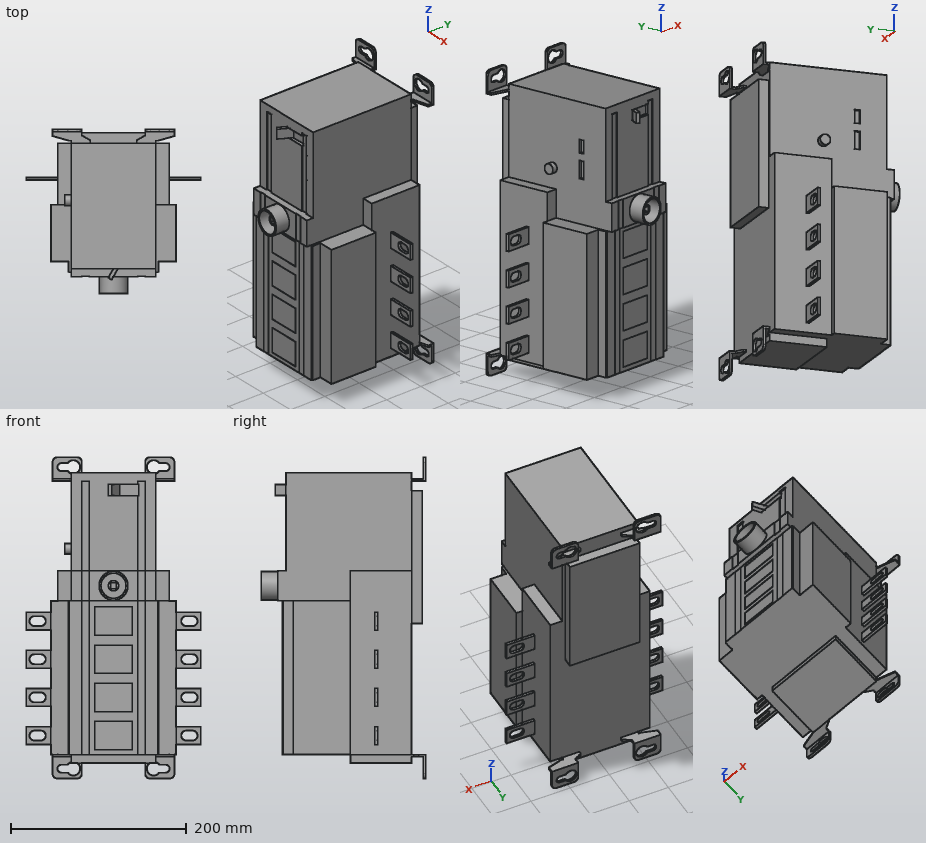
import cadquery as cq

total_height = 366.0

housing_half_width = 48.3
housing_top = 348.5
housing_front = -143.0
collar_front = -152.3
collar_top = 236.8
collar_bottom = 202.5
body_bottom = 27.5

rear_half_width = 63.7
rear_front = -70.0
wing_half_width = 71.5
wing_front = -134.7
nose_half_width = 51.2
nose_front = -147.0
nose_edge_chamfer = 1.0

base_bottom = 17.5
panel_half_width = 44.5
panel_back = 12.0
panel_bottom = 176.5
panel_top = 328.0

strip_inner = 27.8
strip_outer = 36.2
strip_top = 338.5
housing_strip_depth = 1.5
collar_strip_depth = 0.7
nose_strip_depth = 0.2

pole_count = 4
first_pole_z = 49.0
last_pole_z = 179.5
pole_pitch = (last_pole_z - first_pole_z) / (pole_count - 1)
window_width = 42.5
window_height = 32.2
window_depth = 0.2
terminal_reach = 99.5
terminal_height = 20.5
terminal_back = -38.8
terminal_thickness = 3.3
terminal_slot_x = 86.5
terminal_slot_length = 18.3
terminal_slot_height = 11.0

knob_z = 219.5
knob_radius = 16.5
knob_bore_radius = 14.3
knob_front = -171.3
hub_radius = 6.0
hub_length = 11.5
hub_square = 6.5

latch_bottom = 322.0
latch_top = 335.0
latch_right = 29.0
latch_depth = 4.5
tongue_root_right = 7.5
tongue_tip_left = -6.0
tongue_tip_right = -2.2
tongue_tip_left_y = -153.0
tongue_front = -155.5

button_y = -65.0
button_z = 261.7
button_radius = 6.2
button_end = -55.5
side_slot_back = -104.0
side_slot_front = -110.5
side_slot_depth = 3.5
side_slot_spans = ((287.3, 303.5), (256.5, 278.0))

foot_outer = 69.5
foot_inner = 36.0
foot_back = 16.0
foot_thickness = 3.0
flange_thickness = 2.5
flange_level = 338.5
flange_root_inner = 26.5
flange_tip_outer = 50.0
flange_root_depth_inner = 3.3
flange_root_depth_outer = 2.5
flange_end_depth_inner = 8.8
flange_end_depth_outer = 8.0
foot_corner_radius = 6.0
keyhole_z = 354.5
keyhole_x = 45.8
keyhole_radius = 7.7
keyhole_slot_end_x = 59.3
keyhole_slot_radius = 4.5


def block(x0, x1, y0, y1, z0, z1):
    """Box between two opposite corners."""
    size = (abs(x1 - x0), abs(y1 - y0), abs(z1 - z0))
    centre = ((x0 + x1) / 2, (y0 + y1) / 2, (z0 + z1) / 2)
    return cq.Workplane("XY").box(*size).translate(centre)


def centred_block(half_width, y0, y1, z0, z1):
    """Box symmetric about X = 0."""
    return block(-half_width, half_width, y0, y1, z0, z1)


def front_plane(y):
    """Sketch plane at depth y: local X is X, local Y is Z, extrudes toward the front."""
    return cq.Workplane("XZ", origin=(0, y, 0))


def make_housing():
    housing = centred_block(housing_half_width, 0, housing_front, collar_bottom, housing_top)
    collar = centred_block(housing_half_width, 0, collar_front, collar_bottom, collar_top)
    panel = centred_block(panel_half_width, 0, panel_back, panel_bottom, panel_top)
    base = centred_block(housing_half_width, 0, rear_front, base_bottom, body_bottom)
    return housing.union(collar).union(panel).union(base)


def make_switch_body():
    rear = centred_block(rear_half_width, 0, rear_front, body_bottom, collar_top)
    wings = centred_block(wing_half_width, rear_front, wing_front, body_bottom, collar_bottom)
    nose = centred_block(nose_half_width, rear_front, nose_front, body_bottom, collar_bottom)
    nose = nose.faces("<Y").edges("|Z").chamfer(nose_edge_chamfer)
    return rear.union(wings).union(nose)


def make_strip_grooves():
    """Shallow grooves down the housing, collar and nose fronts."""
    grooves = cq.Workplane("XY")
    levels = (
        (housing_front, housing_strip_depth, collar_top, strip_top),
        (collar_front, collar_strip_depth, collar_bottom, collar_top),
        (nose_front, nose_strip_depth, body_bottom, collar_bottom),
    )
    for face, depth, bottom, top in levels:
        for side in (-1, 1):
            grooves = grooves.union(
                block(side * strip_inner, side * strip_outer, face, face + depth, bottom, top)
            )
    return grooves


def pole_points(x):
    return [(x, first_pole_z + i * pole_pitch) for i in range(pole_count)]


def make_windows():
    return (
        front_plane(nose_front + window_depth)
        .pushPoints(pole_points(0))
        .rect(window_width, window_height)
        .extrude(window_depth)
    )


def make_terminals():
    """Flat bars running through the body with a slot at each end."""
    bars = (
        front_plane(terminal_back)
        .pushPoints(pole_points(0))
        .rect(2 * terminal_reach, terminal_height)
        .extrude(terminal_thickness)
    )
    slots = (
        front_plane(terminal_back)
        .pushPoints(pole_points(-terminal_slot_x) + pole_points(terminal_slot_x))
        .slot2D(terminal_slot_length, terminal_slot_height)
        .extrude(terminal_thickness)
    )
    return bars.cut(slots)


def make_knob():
    """Hollow cylinder around a short hub with a square socket."""
    tube_base = front_plane(collar_front).center(0, knob_z)
    hub_base = front_plane(collar_front).center(0, knob_z)
    tube = tube_base.circle(knob_radius).circle(knob_bore_radius).extrude(collar_front - knob_front)
    hub = hub_base.circle(hub_radius).rect(hub_square, hub_square).extrude(hub_length)
    return tube.union(hub)


def make_latch_pocket():
    return block(0, latch_right, housing_front, housing_front + latch_depth, latch_bottom, latch_top)


def make_latch_tongue():
    floor = housing_front + latch_depth
    slope = (tongue_root_right - tongue_tip_right) / (floor - tongue_front)
    tongue_root_left = tongue_tip_left + slope * (floor - tongue_tip_left_y)
    outline = [
        (tongue_root_left, floor),
        (tongue_root_right, floor),
        (tongue_tip_right, tongue_front),
        (tongue_tip_left, tongue_tip_left_y),
    ]
    plane = cq.Workplane("XY", origin=(0, 0, latch_bottom))
    return plane.polyline(outline).close().extrude(latch_top - latch_bottom)


def make_button():
    plane = cq.Workplane("YZ", origin=(button_end, button_y, button_z))
    return plane.circle(button_radius).extrude(-housing_half_width - button_end)


def make_side_slots():
    slots = cq.Workplane("XY")
    left = -housing_half_width
    for bottom, top in side_slot_spans:
        slots = slots.union(
            block(left, left + side_slot_depth, side_slot_back, side_slot_front, bottom, top)
        )
    return slots


def make_foot():
    """Upper right foot: a keyhole plate standing on a tapered flange."""
    plate = block(
        foot_inner, foot_outer, foot_back - foot_thickness, foot_back, flange_level, total_height
    )
    plate = plate.faces(">Z").edges("|Y").fillet(foot_corner_radius)
    flange_outline = [
        (flange_root_inner, 0),
        (flange_root_inner, flange_root_depth_inner),
        (foot_inner, flange_end_depth_inner),
        (foot_inner, foot_back),
        (foot_outer, foot_back),
        (foot_outer, flange_end_depth_outer),
        (flange_tip_outer, flange_root_depth_outer),
        (housing_half_width, flange_root_depth_outer),
        (housing_half_width, 0),
    ]
    flange = (
        cq.Workplane("XY", origin=(0, 0, flange_level))
        .polyline(flange_outline)
        .close()
        .extrude(flange_thickness)
    )
    hole = front_plane(foot_back).center(keyhole_x, keyhole_z).circle(keyhole_radius).extrude(foot_thickness)
    slot_span = keyhole_slot_end_x - keyhole_x
    slot = (
        front_plane(foot_back)
        .center(keyhole_x + slot_span / 2, keyhole_z)
        .slot2D(slot_span + 2 * keyhole_slot_radius, 2 * keyhole_slot_radius)
        .extrude(foot_thickness)
    )
    return plate.union(flange).cut(hole).cut(slot)


def make_feet():
    right_foot = make_foot()
    upper_feet = right_foot.union(right_foot.mirror("YZ"))
    lower_feet = upper_feet.mirror("XY", (0, 0, total_height / 2))
    return upper_feet.union(lower_feet)


result = (
    make_housing()
    .union(make_switch_body())
    .cut(make_strip_grooves())
    .cut(make_windows())
    .cut(make_latch_pocket())
    .cut(make_side_slots())
    .union(make_latch_tongue())
    .union(make_terminals())
    .union(make_knob())
    .union(make_button())
    .union(make_feet())
)